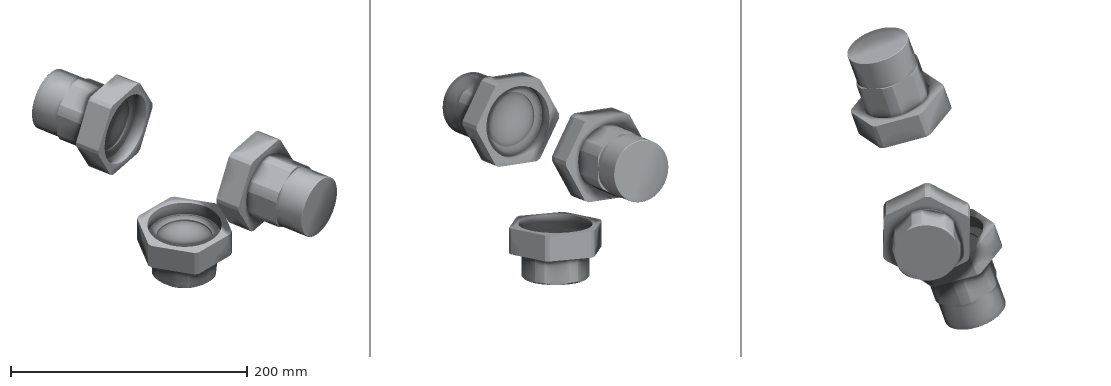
import cadquery as cq
import math

FLANGE_FLATS = 73.0
FLANGE_CORNERS_DIA = 82.0
FLANGE_THICK = 22.5

BORE_DIA = 62.8
BORE_DEPTH = 11.5
FLOOR_STEP_DIA = 60.0
FLOOR_STEP_DEPTH = 0.3
RECESS_DIA = 47.5
RECESS_DEPTH = 1.7

NECK_DIA = 57.8
NECK_FLATS = 54.0

LONG_NECK = 29.0
FLATS_SINK = 2.8
SPIGOT_DIA = 54.0
SPIGOT_LENGTH = 26.0
SPIGOT_CHAMFER = 0.3
LONG_PLUG = FLANGE_THICK + LONG_NECK + SPIGOT_LENGTH

SHORT_NECK = 24.0
SHORT_CHAMFER = 1.7
COLLAR_THICK = 0.5
SHORT_FLANGE_TURN = 18.5

OVERALL_LENGTH = 275.5
OVERALL_HEIGHT = 158.5
LONG_PLUG_AXIS_Z = OVERALL_HEIGHT - FLANGE_FLATS / 2
SHORT_PLUG_AXIS_X = OVERALL_LENGTH / 2



def disc(diameter, top, depth):
    """Round bar running down from the height top."""
    return cq.Workplane("XY").workplane(offset=top).circle(diameter / 2).extrude(-depth)


def hexagon(across_flats, top, depth):
    """Hexagonal bar running down from the height top, with corners on the X axis."""
    across_corners = across_flats / math.cos(math.pi / 6)
    return cq.Workplane("XY").workplane(offset=top).polygon(6, across_corners).extrude(-depth)


def flange():
    """Solid hexagonal flange with turned corners."""
    return hexagon(FLANGE_FLATS, 0, FLANGE_THICK).intersect(disc(FLANGE_CORNERS_DIA, 0, FLANGE_THICK))


def cut_open_face(plug):
    """Cut the bore and the two steps in its floor into the open face."""
    floor_step_bottom = BORE_DEPTH + FLOOR_STEP_DEPTH
    bore = disc(BORE_DIA, 0, BORE_DEPTH)
    floor_step = disc(FLOOR_STEP_DIA, 0, floor_step_bottom)
    recess = disc(RECESS_DIA, 0, floor_step_bottom + RECESS_DEPTH)
    return plug.cut(bore).cut(floor_step).cut(recess)


def flats_cutter(top, depth):
    """Material removed from the round neck to leave its six flats."""
    return disc(NECK_DIA, top, depth).cut(hexagon(NECK_FLATS, top, depth))


def long_plug(side):
    """Side plug lying along X, spigot pointing outward: side is -1 at the left, 1 at the right."""
    neck_end = -FLANGE_THICK - LONG_NECK
    neck = disc(NECK_DIA, -FLANGE_THICK, LONG_NECK)
    spigot = disc(SPIGOT_DIA, neck_end, SPIGOT_LENGTH).faces("<Z").chamfer(SPIGOT_CHAMFER)
    flats = flats_cutter(-FLANGE_THICK + FLATS_SINK, LONG_NECK + FLATS_SINK)
    flange_with_side_corners = flange().rotate((0, 0, 0), (0, 0, 1), 90)
    body = flange_with_side_corners.union(neck).cut(flats).union(spigot)
    plug = cut_open_face(body)
    open_face_x = OVERALL_LENGTH / 2 + side * (OVERALL_LENGTH / 2 - LONG_PLUG)
    return (
        plug.rotate((0, 0, 0), (0, 1, 0), -90 * side)
        .translate((open_face_x, 0, LONG_PLUG_AXIS_Z))
    )


def short_plug():
    """Bottom plug standing along Z, open face up."""
    neck = disc(NECK_DIA, -FLANGE_THICK, SHORT_NECK).faces("<Z").chamfer(SHORT_CHAMFER)
    flats = flats_cutter(-FLANGE_THICK - COLLAR_THICK, SHORT_NECK - COLLAR_THICK)
    turned_flange = flange().rotate((0, 0, 0), (0, 0, 1), SHORT_FLANGE_TURN)
    body = turned_flange.union(neck.cut(flats))
    plug = cut_open_face(body)
    return plug.translate((SHORT_PLUG_AXIS_X, 0, FLANGE_THICK + SHORT_NECK))


bottom_plug = short_plug()
side_plugs = [long_plug(side) for side in (-1, 1)]

plugs = [bottom_plug, *side_plugs]
result = cq.Compound.makeCompound([plug.solids().val() for plug in plugs])